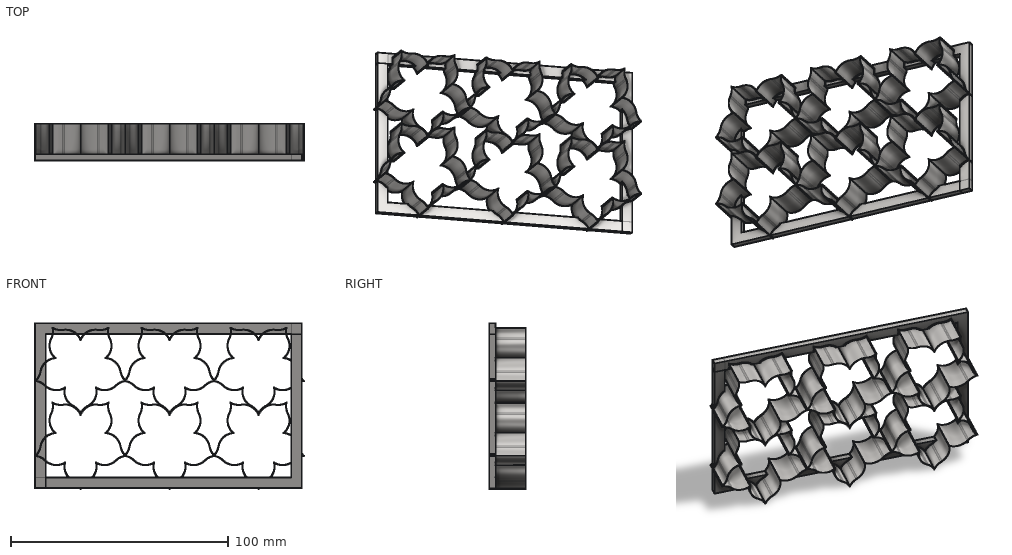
import cadquery as cq
import math

FRAME_WIDTH = 123.0
FRAME_HEIGHT = 76.0
FRAME_THICKNESS = 3.0
BAR_WIDTH = 5.0

COLUMNS = 3
ROWS = 2
COLUMN_PITCH = FRAME_WIDTH / COLUMNS
ROW_PITCH = 34.5
FIRST_CENTER_X = 21.0
FIRST_CENTER_Z = 21.63

PETALS = 5
FLOWER_DEPTH = 17.0
WALL = 0.2
LOBE_OFFSET = 11.698
LINK_LENGTH = 0.8

GROOVE_FLOOR = 0.5
GROOVE_DEPTH = FRAME_THICKNESS - GROOVE_FLOOR

HALF_PETAL_ANGLE = math.pi / PETALS
FLANK_ALONG = ROW_PITCH - LOBE_OFFSET * math.cos(HALF_PETAL_ANGLE)
FLANK_ACROSS = LOBE_OFFSET * math.sin(HALF_PETAL_ANGLE)
LOBE_TO_FLANK = math.hypot(FLANK_ALONG - LOBE_OFFSET, FLANK_ACROSS)
OUTER_RADIUS = math.sqrt(LOBE_TO_FLANK**2 - LINK_LENGTH**2) / 2


def petal_arcs(inset):
    """Half a petal, as (along, across) points about its axis: notch, lobe, link, flank, tip."""
    lobe_radius = OUTER_RADIUS - inset
    flank_radius = OUTER_RADIUS + inset

    def on_lobe(angle):
        return (LOBE_OFFSET + lobe_radius * math.cos(angle), lobe_radius * math.sin(angle))

    def on_flank(angle):
        return (
            FLANK_ALONG - flank_radius * math.cos(angle),
            FLANK_ACROSS - flank_radius * math.sin(angle),
        )

    notch_angle = HALF_PETAL_ANGLE + math.asin(FLANK_ACROSS / lobe_radius)
    toward_flank = math.atan2(FLANK_ACROSS, FLANK_ALONG - LOBE_OFFSET)
    tangent_angle = toward_flank + math.asin(LINK_LENGTH / LOBE_TO_FLANK)
    tip_angle = math.asin(FLANK_ACROSS / flank_radius)
    return [
        on_lobe(notch_angle),
        on_lobe((notch_angle + tangent_angle) / 2),
        on_lobe(tangent_angle),
        on_flank(tangent_angle),
        on_flank((tangent_angle + tip_angle) / 2),
        on_flank(tip_angle),
    ]


def flower_prism(inset):
    """Solid flower about the origin, one petal pointing down, with its outline moved inwards by the inset."""
    rising = petal_arcs(inset)
    falling = [(along, -across) for along, across in reversed(rising)]

    def turned(point, axis_angle):
        along, across = point
        return (
            along * math.cos(axis_angle) + across * math.sin(axis_angle),
            along * math.sin(axis_angle) - across * math.cos(axis_angle),
        )

    axis_angles = [-math.pi / 2 + 2 * HALF_PETAL_ANGLE * i for i in range(PETALS)]
    outline = cq.Workplane("XZ").moveTo(*turned(rising[0], axis_angles[0]))
    for axis_angle in axis_angles:
        for half in (rising, falling):
            first_mid, link_start, link_end, second_mid, end = [turned(p, axis_angle) for p in half[1:]]
            outline = outline.threePointArc(first_mid, link_start)
            outline = outline.lineTo(*link_end)
            outline = outline.threePointArc(second_mid, end)
    return outline.close().extrude(-FLOWER_DEPTH)


def box(x, z, width, height, depth):
    """Block with its lower left front corner at (x, 0, z)."""
    return cq.Workplane("XY").box(width, depth, height, centered=False).translate((x, 0, z))


def flower_center(column, row):
    return (FIRST_CENTER_X + column * COLUMN_PITCH, 0, FIRST_CENTER_Z + row * ROW_PITCH)


def flower_ring(column, row):
    """One full-depth flower ring; its left tip ends against the tip of the flower before it."""
    ring = flower_prism(0).cut(flower_prism(WALL))
    if column > 0:
        ring = ring.cut(flower_prism(0).translate((-COLUMN_PITCH, 0, 0)))
    return ring.translate(flower_center(column, row))


def left_top_bars():
    """L of the left and top bars; it owns the bottom left and top right corner squares."""
    inner_right = FRAME_WIDTH - BAR_WIDTH
    inner_top = FRAME_HEIGHT - BAR_WIDTH
    bars = (
        cq.Workplane("XZ")
        .moveTo(0, BAR_WIDTH)
        .lineTo(BAR_WIDTH, BAR_WIDTH)
        .lineTo(BAR_WIDTH, inner_top)
        .lineTo(inner_right, inner_top)
        .lineTo(inner_right, FRAME_HEIGHT)
        .lineTo(0, FRAME_HEIGHT)
        .close()
        .extrude(-FRAME_THICKNESS)
    )
    for x, z in ((0, 0), (inner_right, inner_top)):
        bars = bars.union(box(x, z, BAR_WIDTH, BAR_WIDTH, FRAME_THICKNESS), clean=False)
    return bars


def right_bottom_bars():
    """L of the right and bottom bars, between the two corner squares."""
    return (
        cq.Workplane("XZ")
        .moveTo(BAR_WIDTH, 0)
        .lineTo(FRAME_WIDTH, 0)
        .lineTo(FRAME_WIDTH, FRAME_HEIGHT - BAR_WIDTH)
        .lineTo(FRAME_WIDTH - BAR_WIDTH, FRAME_HEIGHT - BAR_WIDTH)
        .lineTo(FRAME_WIDTH - BAR_WIDTH, BAR_WIDTH)
        .lineTo(BAR_WIDTH, BAR_WIDTH)
        .close()
        .extrude(-FRAME_THICKNESS)
    )


right_bottom_frame = right_bottom_bars()

rear_layer = left_top_bars().intersect(
    box(0, 0, FRAME_WIDTH, FRAME_HEIGHT, GROOVE_FLOOR).translate((0, GROOVE_DEPTH, 0))
)

flowers = []
for row in range(ROWS):
    for column in range(COLUMNS):
        flower = flower_ring(column, row).cut(right_bottom_frame).cut(rear_layer)
        flowers.append(flower)

left_top_frame = left_top_bars()
for flower in flowers:
    left_top_frame = left_top_frame.cut(flower, clean=False)

result = cq.Compound.makeCompound(
    [left_top_frame.val(), right_bottom_frame.val()] + [flower.val() for flower in flowers]
)